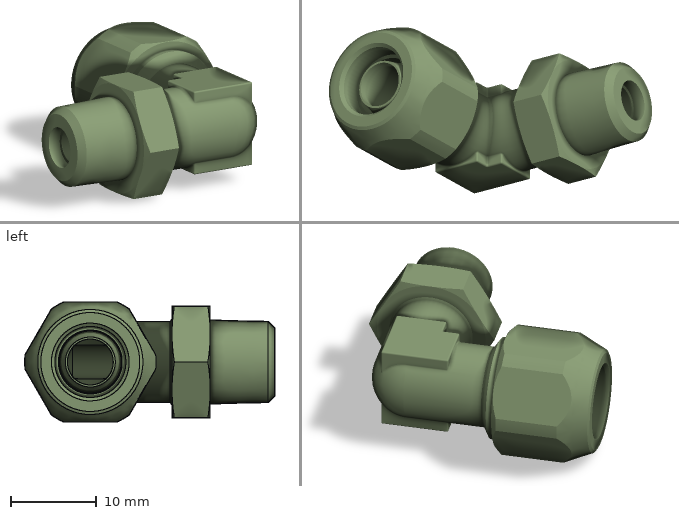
import cadquery as cq
import math


PIPE_RADIUS = 4.75
TUBE_END = 22.5
THREAD_END = 21.5
INNER_CORNER_RADIUS = 0.25

NUT_ACROSS_FLATS = 14.0
NUT_CORNER_RADIUS = 7.65
NUT_START = 11.0
NUT_BACK_BEVEL = 0.7
NUT_CONE_START = 19.0
NUT_CONE_END_RADIUS = 6.12
NUT_FACE_RADIUS = 5.75
NUT_LIP_LENGTH = 0.2

COLLAR_RADIUS = 6.0
COLLAR_NECK_START = 9.27
COLLAR_CONE_START = 9.48
COLLAR_CONE_END = 10.15
COLLAR_CONE_SMALL_RADIUS = 4.98

HEX_ACROSS_FLATS = 13.0
HEX_START = 9.5
HEX_END = 13.95
HEX_BEVEL_ANGLE = 15.0
HEX_NECK_FLARE = 0.25

THREAD_BASE_RADIUS = 4.92
THREAD_TIP_RADIUS = 4.75
THREAD_BEVEL = 0.78

PAD_HEIGHT = 5.0
PAD_OUTER = 3.05
PAD_REACH = 4.95
PAD_NOTCH = 2.9
PAD_EDGE_RADIUS = 0.18
PAD_FOOT_RADIUS = 0.18

DRILL_POINT_ANGLE = 118.0
TUBE_BORE_RADIUS = 2.67
TUBE_BORE_BOTTOM_X = -0.45
THREAD_BORE_RADIUS = 1.98
THREAD_BORE_BOTTOM_Y = 2.07
THREAD_COUNTERBORE_RADIUS = 2.4
THREAD_COUNTERBORE_DEPTH = 1.5

SOCKET_RADIUS = 4.15
SOCKET_DEPTH = 3.18
SOCKET_BEVEL = 0.4
RELIEF_RADIUS = 3.72
RELIEF_DEPTH = 5.1
INSERT_TIP_DEPTH = 1.77
INSERT_TIP_RADIUS = 2.9
INSERT_BASE_RADIUS = 3.6


def turned_on_tube_leg(profile):
    """Revolve (distance from the elbow, radius) points about the tube axis."""
    points = [(-distance, radius) for distance, radius in profile]
    return cq.Workplane("XY").polyline(points).close().revolve(360, (0, 0, 0), (1, 0, 0))


def turned_on_thread_leg(profile):
    """Revolve (distance from the elbow, radius) points about the thread axis."""
    points = [(radius, -distance) for distance, radius in profile]
    return cq.Workplane("XY").polyline(points).close().revolve(360, (0, 0, 0), (0, 1, 0))


def corner_radius(across_flats):
    return across_flats / math.sqrt(3)


def drill_point_length(radius):
    return radius / math.tan(math.radians(DRILL_POINT_ANGLE / 2))


def elbow():
    tube_leg = cq.Workplane("YZ").circle(PIPE_RADIUS).extrude(-NUT_START)
    thread_leg = cq.Workplane("XZ").circle(PIPE_RADIUS).extrude(HEX_END)
    legs = tube_leg.union(thread_leg)
    knuckle = cq.Workplane("XY").sphere(PIPE_RADIUS)
    inner_corner = cq.selectors.NearestToPointSelector((-PIPE_RADIUS, -PIPE_RADIUS, 0))
    return legs.edges(inner_corner).fillet(INNER_CORNER_RADIUS).union(knuckle)


def pads():
    outline = [
        (-PAD_REACH, PAD_OUTER),
        (PAD_OUTER, PAD_OUTER),
        (PAD_OUTER, -PAD_REACH),
        (-PAD_NOTCH, -PAD_REACH),
        (-PAD_NOTCH, -PAD_NOTCH),
        (-PAD_REACH, -PAD_NOTCH),
    ]
    block = cq.Workplane("XY").polyline(outline).close().extrude(PAD_HEIGHT, both=True)
    return block.edges().fillet(PAD_EDGE_RADIUS)


def elbow_with_pads():
    """Join the pads to the elbow and blend the seam around the foot of each pad."""
    body = elbow().union(pads())
    seam_height = math.sqrt(PIPE_RADIUS**2 - PAD_NOTCH**2)
    for height in (seam_height, -seam_height):
        seam = cq.selectors.NearestToPointSelector((-PAD_REACH, 0, height))
        body = body.edges(seam).fillet(PAD_FOOT_RADIUS)
    return body


def swivel_nut():
    hexagon = (
        cq.Workplane("YZ")
        .workplane(offset=-TUBE_END)
        .polygon(6, 2 * corner_radius(NUT_ACROSS_FLATS))
        .extrude(TUBE_END - NUT_START)
    )
    envelope = turned_on_tube_leg([
        (NUT_START, 0),
        (NUT_START, NUT_CORNER_RADIUS - NUT_BACK_BEVEL),
        (NUT_START + NUT_BACK_BEVEL, NUT_CORNER_RADIUS),
        (NUT_CONE_START, NUT_CORNER_RADIUS),
        (TUBE_END - NUT_LIP_LENGTH, NUT_CONE_END_RADIUS),
        (TUBE_END, NUT_FACE_RADIUS),
        (TUBE_END, 0),
    ])
    return hexagon.intersect(envelope)


def collar():
    return turned_on_tube_leg([
        (COLLAR_NECK_START, 0),
        (COLLAR_NECK_START, PIPE_RADIUS),
        (COLLAR_CONE_START, COLLAR_CONE_SMALL_RADIUS),
        (COLLAR_CONE_END, COLLAR_RADIUS),
        (NUT_START, COLLAR_RADIUS),
        (NUT_START, 0),
    ])


def fixed_hex():
    circumradius = corner_radius(HEX_ACROSS_FLATS)
    face_radius = HEX_ACROSS_FLATS / 2
    bevel_height = (circumradius - face_radius) * math.tan(math.radians(HEX_BEVEL_ANGLE))
    hexagon = (
        cq.Workplane("XZ")
        .workplane(offset=HEX_START)
        .polygon(6, 2 * circumradius)
        .extrude(HEX_END - HEX_START)
    )
    envelope = turned_on_thread_leg([
        (HEX_START, 0),
        (HEX_START, face_radius),
        (HEX_START + bevel_height, circumradius),
        (HEX_END - bevel_height, circumradius),
        (HEX_END, face_radius),
        (HEX_END, 0),
    ])
    neck = turned_on_thread_leg([
        (HEX_START - HEX_NECK_FLARE, 0),
        (HEX_START - HEX_NECK_FLARE, PIPE_RADIUS),
        (HEX_START, PIPE_RADIUS + HEX_NECK_FLARE),
        (HEX_START, 0),
    ])
    return hexagon.intersect(envelope).union(neck)


def thread_stub():
    return turned_on_thread_leg([
        (HEX_END, 0),
        (HEX_END, THREAD_BASE_RADIUS),
        (THREAD_END - THREAD_BEVEL, THREAD_TIP_RADIUS),
        (THREAD_END, THREAD_TIP_RADIUS - THREAD_BEVEL),
        (THREAD_END, 0),
    ])


def tube_bore():
    """Drilled bore with a conical end, reaching from the nut face to the elbow."""
    bottom = -TUBE_BORE_BOTTOM_X
    return turned_on_tube_leg([
        (TUBE_END, 0),
        (TUBE_END, TUBE_BORE_RADIUS),
        (bottom, TUBE_BORE_RADIUS),
        (bottom - drill_point_length(TUBE_BORE_RADIUS), 0),
    ])


def tube_socket():
    """Ring-shaped pocket that leaves the tapered insert standing in its middle."""
    return turned_on_tube_leg([
        (TUBE_END, 0),
        (TUBE_END, SOCKET_RADIUS + SOCKET_BEVEL),
        (TUBE_END - SOCKET_BEVEL, SOCKET_RADIUS),
        (TUBE_END - SOCKET_DEPTH, SOCKET_RADIUS),
        (TUBE_END - SOCKET_DEPTH, RELIEF_RADIUS),
        (TUBE_END - RELIEF_DEPTH, RELIEF_RADIUS),
        (TUBE_END - RELIEF_DEPTH, INSERT_BASE_RADIUS),
        (TUBE_END - INSERT_TIP_DEPTH, INSERT_TIP_RADIUS),
        (TUBE_END - INSERT_TIP_DEPTH, 0),
    ])


def thread_bore():
    """Counterbored drilling with a conical end just past the elbow center."""
    bottom = -THREAD_BORE_BOTTOM_Y
    step = THREAD_END - THREAD_COUNTERBORE_DEPTH
    return turned_on_thread_leg([
        (THREAD_END, 0),
        (THREAD_END, THREAD_COUNTERBORE_RADIUS),
        (step, THREAD_COUNTERBORE_RADIUS),
        (step, THREAD_BORE_RADIUS),
        (bottom, THREAD_BORE_RADIUS),
        (bottom - drill_point_length(THREAD_BORE_RADIUS), 0),
    ])


result = elbow_with_pads()
for solid in (collar(), swivel_nut(), fixed_hex(), thread_stub()):
    result = result.union(solid)
for cutter in (tube_bore(), tube_socket(), thread_bore()):
    result = result.cut(cutter)